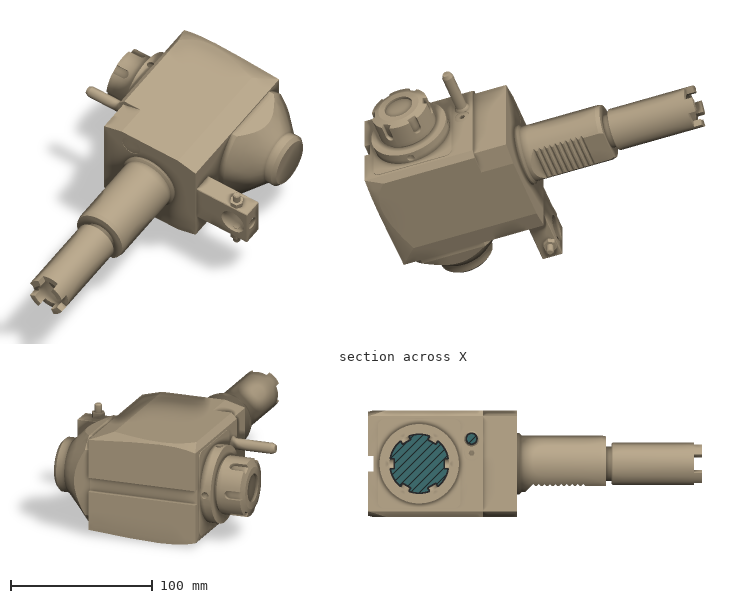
import cadquery as cq
import math


OVERALL_LENGTH = 235.2

HOUSING_HALF_HEIGHT = 75.0 / 2
HOUSING_LENGTH = 105.0
HOUSING_LEFT = -41.9
HOUSING_RIGHT = 39.0
BEVEL_DROP = 4.0
BEVEL_ANGLE = 15
BEVEL_RUN = BEVEL_DROP / math.tan(math.radians(BEVEL_ANGLE))
SHOULDER_HALF_HEIGHT = HOUSING_HALF_HEIGHT - BEVEL_DROP
STEP_LEFT = -38.8
STEP_LENGTH = 24.0
KEYWAY_WIDTH = 10.5
KEYWAY_DEPTH = 3.8

CROWN_POINTS = [(5.6, 36.0), (-10.5, 36.7), (-31.5, 35.8)]
REAR_SLOPE_LENGTH = 18.8
REAR_SLOPE_ANGLE = 13.2
REAR_SLOPE_RISE = REAR_SLOPE_LENGTH * math.tan(math.radians(REAR_SLOPE_ANGLE))

SPINDLE_Y = 69.0
RING_RADIUS = 28.0
RING_FRONT = -50.3
RING_HOLE_RADIUS = 2.5
RING_HOLE_DEPTH = 2.4
RING_HOLE_COUNT = 4
GROOVE_WIDTH = 1.6
GROOVE_RADIUS = 19.8
NUT_RADIUS = 21.0
NUT_FRONT = -71.5
NUT_BEVEL_LENGTH = 1.9
NUT_FACE_RADIUS = 15.0
NUT_BORE_RADIUS = 10.4
NUT_BORE_DEPTH = 2.0
NUT_SLOT_COUNT = 6
NUT_SLOT_WIDTH = 6.4
NUT_SLOT_LENGTH = 13.5
NUT_SLOT_FLOOR = 17.9
PAD_LENGTH = 58.3
PAD_HEIGHT = 63.0
PAD_CORNER = 5.0
PAD_THICKNESS = 0.5

COVER_RADIUS = 40.0
COVER_RIM = 4.2
COVER_HALF_HEIGHT = 64.7 / 2
COVER_REAR = 31.8
COVER_NECK_RADIUS = 19.5
COVER_END = 72.5
COVER_END_BEVEL = 2.5

PIN_Y = 32.0
PIN_Z = 17.6
PIN_RADIUS = 4.0
PIN_TIP = -74.3
PIN_TIP_BEVEL = 2.5
PIN_TIP_RADIUS = 2.8
PIN_COLLAR_RADIUS = 5.5
PIN_COLLAR_LENGTH = 1.9
PLUG_Z = 7.5
PLUG_RADIUS = 5.5
PLUG_RECESS = 0.2
PLUG_HEX_SIZE = 4.2
PLUG_HEX_DEPTH = 2.8
FRONT_PLUG_X = -15.8
FRONT_PLUG_Z = 27.5
FRONT_PLUG_RADIUS = 7.5

ARM_END = 81.9
ARM_FRONT = 1.5
ARM_REAR = 16.2
ARM_HALF_HEIGHT = 15.0
ARM_EDGE_BEVEL = 0.5
ARM_HOLE_X = 69.9
ARM_HOLE_RADIUS = 9.6
ARM_SIDE_HOLE_RADIUS = 4.5
ARM_SIDE_HOLE_Y = 8.0
SCREW_Y = 6.4
SCREW_RADIUS = 2.5
SCREW_END = 25.2
SCREW_BEVEL = 0.7
SCREW_INSIDE = 9.2
LOCK_NUT_TOP = 18.8
LOCK_NUT_CORNERS = 9.9

SHANK_RADIUS = 20.0
SHANK_END = -62.8
SHANK_BEVEL_LENGTH = 3.0
SHANK_BEVEL = 0.7
COLLAR_RADIUS = 21.6
COLLAR_LENGTH = 1.6
COLLAR_TAPER_END = -3.3
NECK_RADIUS = 12.0
DRIVE_START = -66.8
DRIVE_RADIUS = 15.0
DRIVE_BEVEL = 0.7
DRIVE_END = HOUSING_LENGTH - OVERALL_LENGTH
CLAW_LENGTH = 5.6
CLAW_GAP_ANGLE = 50
CLAW_COUNT = 4
DRIVE_BORE_RADIUS = 10.4
DRIVE_BORE_DEPTH = 16.5
FLAT_Z = -15.8
FLAT_START = -10.0
SERRATION_FIRST = -11.5
SERRATION_LAST = -46.8
SERRATION_DEPTH = 1.5
SERRATION_COUNT = 10
SERRATION_PITCH = (SERRATION_FIRST - SERRATION_LAST) / (SERRATION_COUNT - 1)


def turned_on_x(points, y=0, z=0):
    """Solid of revolution about an axis parallel to X, from (x, radius) points."""
    profile = cq.Workplane("XY").polyline(points).close()
    return profile.revolve(360, (0, 0, 0), (1, 0, 0)).translate((0, y, z))


def turned_on_y(points):
    """Solid of revolution about the Y axis, from (radius, y) points."""
    return cq.Workplane("XY").polyline(points).close().revolve(360, (0, 0, 0), (0, 1, 0))


def box(x_range, y_range, z_range):
    """Box between two limits along each axis."""
    limits = (x_range, y_range, z_range)
    sizes = [high - low for low, high in limits]
    return cq.Workplane("XY").box(*sizes, centered=False).translate([low for low, high in limits])


def housing_prism(left, bevel_run, start, end):
    """Part of the housing between two Y positions, with beveled long edges."""
    outline = [
        (left, SHOULDER_HALF_HEIGHT),
        (left + bevel_run, HOUSING_HALF_HEIGHT),
        (HOUSING_RIGHT - BEVEL_RUN, HOUSING_HALF_HEIGHT),
        (HOUSING_RIGHT, SHOULDER_HALF_HEIGHT),
    ]
    outline += [(x, -z) for x, z in reversed(outline)]
    prism = cq.Workplane("XZ").polyline(outline).close().extrude(start - end)
    return prism.translate((0, start, 0))


def rear_slope_cutter():
    """Material above the crowned upper rear face, which rises towards the front."""
    margin = 9.5
    top = HOUSING_HALF_HEIGHT + margin
    face = (
        cq.Workplane("XZ", origin=(0, HOUSING_LENGTH, 0))
        .moveTo(HOUSING_RIGHT, SHOULDER_HALF_HEIGHT)
        .spline(CROWN_POINTS + [(HOUSING_LEFT, SHOULDER_HALF_HEIGHT)], includeCurrent=True)
        .lineTo(HOUSING_LEFT - margin, SHOULDER_HALF_HEIGHT)
        .lineTo(HOUSING_LEFT - margin, top)
        .lineTo(HOUSING_RIGHT + margin, top)
        .lineTo(HOUSING_RIGHT + margin, SHOULDER_HALF_HEIGHT)
        .close()
        .wire()
        .val()
    )
    slope = cq.Vector(0, -REAR_SLOPE_LENGTH, REAR_SLOPE_RISE)
    return cq.Workplane(obj=cq.Solid.extrudeLinear(face, [], slope))


def housing():
    front = housing_prism(STEP_LEFT, BEVEL_RUN, 0, STEP_LENGTH)
    rear = housing_prism(HOUSING_LEFT, BEVEL_DROP, STEP_LENGTH, HOUSING_LENGTH)
    upper = rear_slope_cutter()
    rear = rear.cut(upper).cut(upper.mirror("XY"))
    keyway = box(
        (HOUSING_LEFT, HOUSING_RIGHT),
        (HOUSING_LENGTH - KEYWAY_DEPTH, HOUSING_LENGTH),
        (-KEYWAY_WIDTH / 2, KEYWAY_WIDTH / 2),
    )
    front_plug = (
        cq.Workplane("XZ")
        .center(FRONT_PLUG_X, FRONT_PLUG_Z)
        .circle(FRONT_PLUG_RADIUS)
        .extrude(-PLUG_RECESS)
    )
    left_plug = (
        cq.Workplane("YZ", origin=(HOUSING_LEFT, PIN_Y, PLUG_Z))
        .circle(PLUG_RADIUS)
        .extrude(PLUG_RECESS)
        .polygon(6, PLUG_HEX_SIZE)
        .extrude(PLUG_HEX_DEPTH)
    )
    return front.union(rear).cut(keyway).cut(front_plug).cut(left_plug)


def spindle():
    pad = (
        cq.Workplane("YZ", origin=(HOUSING_LEFT, SPINDLE_Y, 0))
        .rect(PAD_LENGTH, PAD_HEIGHT)
        .extrude(-PAD_THICKNESS)
        .edges("|X")
        .fillet(PAD_CORNER)
    )
    nut_back = RING_FRONT - GROOVE_WIDTH
    turned = turned_on_x(
        [
            (HOUSING_LEFT, 0),
            (HOUSING_LEFT, RING_RADIUS),
            (RING_FRONT, RING_RADIUS),
            (RING_FRONT, GROOVE_RADIUS),
            (nut_back, GROOVE_RADIUS),
            (nut_back, NUT_RADIUS),
            (NUT_FRONT + NUT_BEVEL_LENGTH, NUT_RADIUS),
            (NUT_FRONT, NUT_FACE_RADIUS),
            (NUT_FRONT, NUT_BORE_RADIUS),
            (NUT_FRONT + NUT_BORE_DEPTH, NUT_BORE_RADIUS),
            (NUT_FRONT + NUT_BORE_DEPTH, 0),
        ]
    )
    slot = (
        cq.Workplane("XZ", origin=(NUT_FRONT, -NUT_SLOT_FLOOR, 0))
        .slot2D(2 * NUT_SLOT_LENGTH, NUT_SLOT_WIDTH)
        .extrude(NUT_RADIUS)
    )
    for index in range(NUT_SLOT_COUNT):
        angle = index * 360 / NUT_SLOT_COUNT
        turned = turned.cut(slot.rotate((0, 0, 0), (1, 0, 0), angle))
    ring_middle = (RING_FRONT + HOUSING_LEFT) / 2
    hole_bottom = RING_HOLE_DEPTH - RING_RADIUS
    hole = turned_on_y(
        [
            (0, -RING_RADIUS),
            (RING_HOLE_RADIUS, -RING_RADIUS),
            (RING_HOLE_RADIUS, hole_bottom),
            (0, hole_bottom + RING_HOLE_RADIUS),
        ]
    ).translate((ring_middle, 0, 0))
    for index in range(RING_HOLE_COUNT):
        angle = index * 360 / RING_HOLE_COUNT
        turned = turned.cut(hole.rotate((0, 0, 0), (1, 0, 0), angle))
    return pad.union(turned.translate((0, SPINDLE_Y, 0)))


def bearing_cover():
    rim_end = HOUSING_RIGHT + COVER_RIM
    neck_start = rim_end + COVER_RADIUS - COVER_NECK_RADIUS
    cone = turned_on_x(
        [
            (HOUSING_RIGHT, 0),
            (HOUSING_RIGHT, COVER_RADIUS),
            (rim_end, COVER_RADIUS),
            (neck_start, COVER_NECK_RADIUS),
            (COVER_END - COVER_END_BEVEL, COVER_NECK_RADIUS),
            (COVER_END, COVER_NECK_RADIUS - COVER_END_BEVEL),
            (COVER_END, 0),
        ]
    )
    end_drop = (COVER_END - rim_end) * math.tan(math.radians(BEVEL_ANGLE))
    side = [
        (HOUSING_RIGHT, COVER_HALF_HEIGHT),
        (rim_end, COVER_HALF_HEIGHT),
        (COVER_END, COVER_HALF_HEIGHT - end_drop),
    ]
    side += [(x, -z) for x, z in reversed(side)]
    envelope = (
        cq.Workplane("XZ", origin=(0, COVER_REAR, 0))
        .polyline(side)
        .close()
        .extrude(COVER_REAR + COVER_RADIUS)
    )
    return cone.intersect(envelope).translate((0, SPINDLE_Y, 0))


def locating_pin():
    return turned_on_x(
        [
            (HOUSING_LEFT, 0),
            (HOUSING_LEFT, PIN_COLLAR_RADIUS),
            (HOUSING_LEFT - PIN_COLLAR_LENGTH, PIN_RADIUS),
            (PIN_TIP + PIN_TIP_BEVEL, PIN_RADIUS),
            (PIN_TIP, PIN_TIP_RADIUS),
            (PIN_TIP, 0),
        ],
        PIN_Y,
        PIN_Z,
    )


def arm_screw():
    """Upper clamping screw of the torque arm with its lock nut."""
    screw = (
        cq.Workplane("XY", origin=(ARM_HOLE_X, SCREW_Y, SCREW_INSIDE))
        .circle(SCREW_RADIUS)
        .extrude(SCREW_END - SCREW_INSIDE)
        .faces(">Z")
        .chamfer(SCREW_BEVEL)
    )
    lock_nut = (
        cq.Workplane("XY", origin=(ARM_HOLE_X, SCREW_Y, ARM_HALF_HEIGHT))
        .polygon(6, LOCK_NUT_CORNERS)
        .extrude(LOCK_NUT_TOP - ARM_HALF_HEIGHT)
    )
    return screw.union(lock_nut)


def torque_arm():
    arm = box(
        (HOUSING_RIGHT, ARM_END), (ARM_FRONT, ARM_REAR), (-ARM_HALF_HEIGHT, ARM_HALF_HEIGHT)
    )
    arm = arm.faces(">X or >Z or <Z").edges("not <X").chamfer(ARM_EDGE_BEVEL)
    eye = (
        cq.Workplane("XZ", origin=(ARM_HOLE_X, 0, 0)).circle(ARM_HOLE_RADIUS).extrude(-ARM_REAR)
    )
    side_hole = (
        cq.Workplane("YZ", origin=(ARM_HOLE_X, ARM_SIDE_HOLE_Y, 0))
        .circle(ARM_SIDE_HOLE_RADIUS)
        .extrude(ARM_END - ARM_HOLE_X)
    )
    screw = arm_screw()
    return arm.cut(eye).cut(side_hole).union(screw).union(screw.mirror("XY"))


def shank():
    body = turned_on_y(
        [
            (0, 0),
            (COLLAR_RADIUS, 0),
            (COLLAR_RADIUS, -COLLAR_LENGTH),
            (SHANK_RADIUS, COLLAR_TAPER_END),
            (SHANK_RADIUS, SHANK_END + SHANK_BEVEL_LENGTH),
            (SHANK_RADIUS - SHANK_BEVEL, SHANK_END),
            (NECK_RADIUS, SHANK_END),
            (NECK_RADIUS, DRIVE_START),
            (DRIVE_RADIUS - DRIVE_BEVEL, DRIVE_START),
            (DRIVE_RADIUS, DRIVE_START - DRIVE_BEVEL),
            (DRIVE_RADIUS, DRIVE_END),
            (DRIVE_BORE_RADIUS, DRIVE_END),
            (DRIVE_BORE_RADIUS, DRIVE_END + DRIVE_BORE_DEPTH),
            (0, DRIVE_END + DRIVE_BORE_DEPTH),
        ]
    )
    run_out = COLLAR_RADIUS + FLAT_Z
    flat = (
        cq.Workplane("YZ")
        .moveTo(FLAT_START, FLAT_Z)
        .lineTo(FLAT_START + run_out, FLAT_Z - run_out)
        .lineTo(SHANK_END, FLAT_Z - run_out)
        .lineTo(SHANK_END, FLAT_Z)
        .close()
        .extrude(SHANK_RADIUS, both=True)
    )
    body = body.cut(flat)
    for index in range(SERRATION_COUNT):
        middle = SERRATION_FIRST - index * SERRATION_PITCH
        groove = (
            cq.Workplane("YZ")
            .moveTo(middle - SERRATION_DEPTH, FLAT_Z)
            .lineTo(middle, FLAT_Z + SERRATION_DEPTH)
            .lineTo(middle + SERRATION_DEPTH, FLAT_Z)
            .close()
            .extrude(SHANK_RADIUS, both=True)
        )
        body = body.cut(groove)
    gap_reach = 2 * DRIVE_RADIUS
    gap_half_width = gap_reach * math.tan(math.radians(CLAW_GAP_ANGLE / 2))
    gap = (
        cq.Workplane("XZ", origin=(0, DRIVE_END + CLAW_LENGTH, 0))
        .polyline([(0, 0), (gap_reach, gap_half_width), (gap_reach, -gap_half_width)])
        .close()
        .extrude(CLAW_LENGTH)
    )
    for index in range(CLAW_COUNT):
        body = body.cut(gap.rotate((0, 0, 0), (0, 1, 0), index * 360 / CLAW_COUNT))
    return body


result = housing()
for feature in (spindle(), bearing_cover(), locating_pin(), torque_arm(), shank()):
    result = result.union(feature)